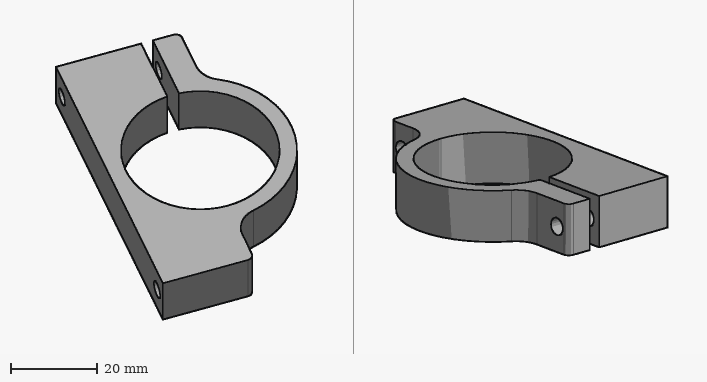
import cadquery as cq
import math

length = 72.0
depth = 45.0
thickness = 12.7
bore_radius = 18.4
ring_radius = depth / 2
ring_center_y = depth - ring_radius

left_ear_top = 30.7
right_ear_top = 22.6
corner_radius = 1.6
neck_radius = 6.3

slot_bottom = 21.1
slot_width = 2.9

hole_diameter = 4.2
hole_edge_distance = 3.95

half_length = length / 2


def plate(x_start, x_end, y_start, y_end):
    """Full-thickness rectangular plate standing on Z = 0."""
    return cq.Workplane("XY").box(
        x_end - x_start, y_end - y_start, thickness, centered=False
    ).translate((x_start, y_start, 0))


def disc(radius):
    """Full-thickness disc on the ring axis."""
    return cq.Workplane("XY").center(0, ring_center_y).circle(radius).extrude(thickness)


def round_upright_edge(body, x, y, radius):
    """Fillet the vertical edge nearest to the point (x, y)."""
    selector = cq.selectors.NearestToPointSelector((x, y, thickness / 2))
    return body.edges("|Z").edges(selector).fillet(radius)


def ring_half_width(y):
    """Distance from the ring axis plane to the ring outline at height y."""
    return math.sqrt(ring_radius**2 - (y - ring_center_y) ** 2)


body = plate(-half_length, 0, 0, left_ear_top)
body = body.union(plate(0, half_length, 0, right_ear_top))
upper_half = plate(-half_length, half_length, ring_center_y, depth)
body = body.union(disc(ring_radius).intersect(upper_half)).clean()

body = round_upright_edge(body, -ring_half_width(left_ear_top), left_ear_top, neck_radius)
body = round_upright_edge(body, ring_half_width(right_ear_top), right_ear_top, neck_radius)
body = round_upright_edge(body, -half_length, left_ear_top, corner_radius)
body = round_upright_edge(body, half_length, right_ear_top, corner_radius)

body = body.cut(disc(bore_radius))
body = body.cut(plate(-half_length, 0, slot_bottom, slot_bottom + slot_width))

hole_x = half_length - hole_edge_distance
for x in (-hole_x, hole_x):
    hole = (
        cq.Workplane("XZ")
        .center(x, thickness / 2)
        .circle(hole_diameter / 2)
        .extrude(-left_ear_top)
    )
    body = body.cut(hole)

result = body